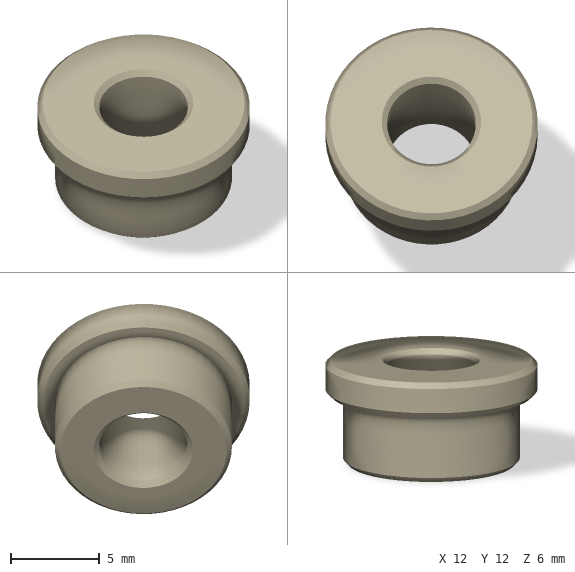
import cadquery as cq

flange_diameter = 12.0
body_diameter = 10.0
bore_diameter = 5.0
total_height = 6.0
flange_thickness = 2.0
edge_chamfer = 0.3

body_height = total_height - flange_thickness


def chamfered_body():
    """Cylindrical shank with its lower rim chamfered."""
    shank = cq.Workplane("XY").circle(body_diameter / 2).extrude(total_height)
    return shank.faces("<Z").chamfer(edge_chamfer)


def chamfered_flange():
    """Collar at the top of the shank with both rims chamfered."""
    collar = cq.Workplane("XY").workplane(offset=body_height)
    collar = collar.circle(flange_diameter / 2).extrude(flange_thickness)
    return collar.faces("<Z or >Z").chamfer(edge_chamfer)


def bore_cutter():
    """Through bore that flares into a chamfer at each end."""
    bore_radius = bore_diameter / 2
    mouth_radius = bore_radius + edge_chamfer
    profile = (
        cq.Workplane("XZ")
        .moveTo(0, 0)
        .lineTo(mouth_radius, 0)
        .lineTo(bore_radius, edge_chamfer)
        .lineTo(bore_radius, total_height - edge_chamfer)
        .lineTo(mouth_radius, total_height)
        .lineTo(0, total_height)
        .close()
    )
    return profile.revolve(360, (0, 0), (0, 1))


result = chamfered_body().union(chamfered_flange()).cut(bore_cutter())